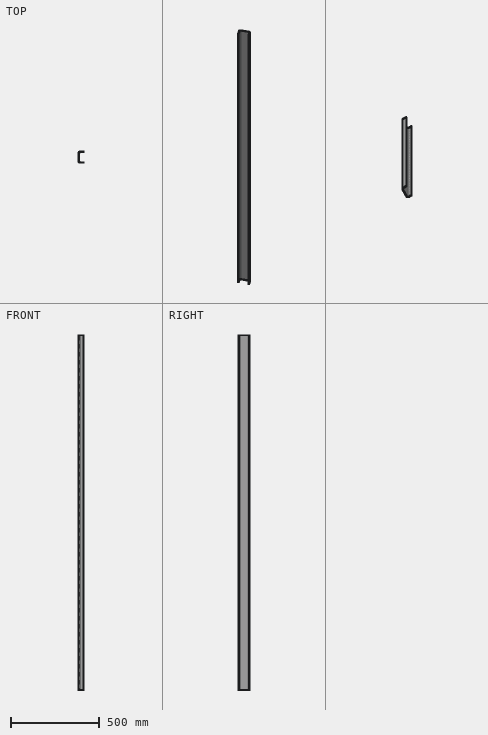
import cadquery as cq

LENGTH = 2000.0
WEB_HEIGHT = 65.0
FLANGE_WIDTH = 30.0
THICKNESS = 5.0
INNER_BEND_RADIUS = 5.0
OUTER_BEND_RADIUS = INNER_BEND_RADIUS + THICKNESS


def rounded_bar(size_x, size_y, left_x, bend_radius):
    """Full-length bar centred on Y, with its two vertical edges on the -X side rounded."""
    bar = cq.Workplane("XY").box(size_x, size_y, LENGTH, centered=(False, True, False))
    return bar.edges("|Z and <X").fillet(bend_radius).translate((left_x, 0, 0))


def make_channel():
    """Outer envelope minus the inner channel, leaving a web and two flanges."""
    envelope = rounded_bar(FLANGE_WIDTH, WEB_HEIGHT, 0, OUTER_BEND_RADIUS)
    inner_height = WEB_HEIGHT - 2 * THICKNESS
    cavity = rounded_bar(FLANGE_WIDTH - THICKNESS, inner_height, THICKNESS, INNER_BEND_RADIUS)
    return envelope.cut(cavity)


result = make_channel()